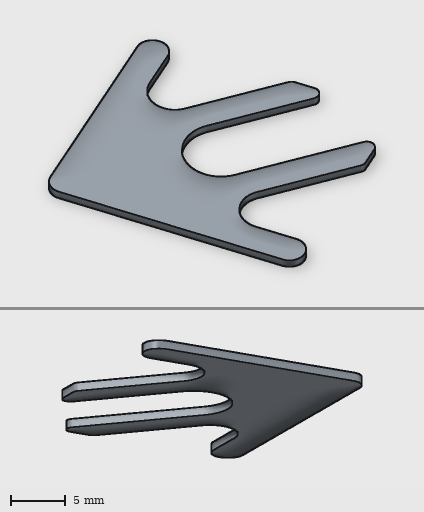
import cadquery as cq
import math

length = 25.4
height = 22.35
thickness = 0.81

arm_width = 3.05
arm_end_radius = arm_width / 2

side_notch_radius = 2.55
middle_notch_radius = 3.55
middle_notch_x = 12.7
middle_notch_y = 11.18
finger_width = 2.9
finger_tip_radius = 0.75

middle_rise = middle_notch_y - middle_notch_x
inner_shift = middle_notch_radius * math.sqrt(2)
outer_shift = inner_shift + finger_width * math.sqrt(2)
notch_shift = outer_shift + side_notch_radius * math.sqrt(2)

upper_notch_x = arm_width + side_notch_radius
upper_notch_y = upper_notch_x + middle_rise + notch_shift
lower_notch_y = arm_width + side_notch_radius
lower_notch_x = lower_notch_y - middle_rise + notch_shift


def on_circle(center_x, center_y, radius, degrees):
    angle = math.radians(degrees)
    return center_x + radius * math.cos(angle), center_y + radius * math.sin(angle)


def upper_notch(degrees):
    return on_circle(upper_notch_x, upper_notch_y, side_notch_radius, degrees)


def middle_notch(degrees):
    return on_circle(middle_notch_x, middle_notch_y, middle_notch_radius, degrees)


def lower_notch(degrees):
    return on_circle(lower_notch_x, lower_notch_y, side_notch_radius, degrees)


upper_tip = [
    (height - middle_rise - outer_shift, height),
    (height - middle_rise - inner_shift, height),
]
lower_tip = [
    (length, length + middle_rise - inner_shift),
    (length, length + middle_rise - outer_shift),
]

plate = (
    cq.Workplane("XY")
    .moveTo(0, 0)
    .lineTo(0, height - arm_end_radius)
    .threePointArc((arm_end_radius, height), (arm_width, height - arm_end_radius))
    .lineTo(*upper_notch(180))
    .threePointArc(upper_notch(247.5), upper_notch(315))
    .lineTo(*upper_tip[0])
    .lineTo(*upper_tip[1])
    .lineTo(*middle_notch(135))
    .threePointArc(middle_notch(225), middle_notch(315))
    .lineTo(*lower_tip[0])
    .lineTo(*lower_tip[1])
    .lineTo(*lower_notch(135))
    .threePointArc(lower_notch(202.5), lower_notch(270))
    .lineTo(length - arm_end_radius, arm_width)
    .threePointArc((length, arm_end_radius), (length - arm_end_radius, 0))
    .close()
    .extrude(thickness)
)


def round_upright_edge(body, point, radius):
    edge = cq.selectors.NearestToPointSelector((*point, thickness / 2))
    return body.edges("|Z").edges(edge).fillet(radius)


plate = round_upright_edge(plate, (0, 0), arm_end_radius)
for corner in upper_tip + lower_tip:
    plate = round_upright_edge(plate, corner, finger_tip_radius)

result = plate